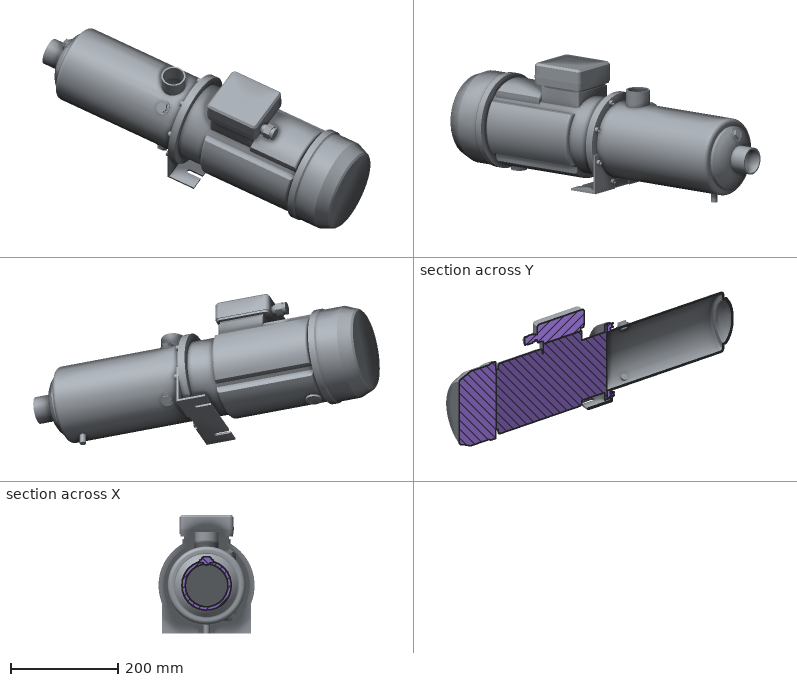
import cadquery as cq
import math

overall_length = 650.6
foot_bottom_z = -90.0
box_top_z = 131.5

casing_radius = 145 / 2
casing_bore_radius = 140 / 2
casing_wall = casing_radius - casing_bore_radius
casing_end_x = 53.5
casing_end_fillet = 7.3
inlet_radius = 50.8 / 2
inlet_bore_radius = 44.5 / 2
dome_start_x = 31.0
dome_end_x = 48.2
dome_radius = 59.0
dome_mid_x = 36.5
dome_mid_radius = 43.0
outlet_x = 268.2
outlet_radius = 44.84 / 2
outlet_bore_radius = 38.95 / 2
outlet_top_z = 100.0
drain_x = 89.3
drain_radius = 12 / 2

flange_radius = 176.5 / 2
flange_front_x = 308.4
flange_joint_x = 316.8
gasket_thickness = 2.4
flange_back_x = 322.4
bolt_circle_radius = 81.0
bolt_count = 8
bolt_shank_diameter = 7.0
bolt_head_diameter = 10.0
bolt_head_height = 6.0
bolt_socket_across_flats = 5.0
bolt_socket_depth = 3.0

sheet_thickness = 4.0
bracket_half_width = 83.3
bracket_top_z = -15.8
bracket_opening_radius = 74.5
bracket_back_x = 361.0
bracket_window_half_width = 22.5
bracket_window_top_z = -76.3
foot_slot_width = 8.0
foot_slot_length = 27.0
foot_slot_y = 54.0
foot_top_z = foot_bottom_z + sheet_thickness

plug_washer_diameter = 26.5
plug_washer_thickness = 2.5
plug_collar_diameter = 21.0
plug_collar_height = 2.0
plug_head_across_corners = 19.73
plug_head_height = 6.5
plug_thread_diameter = 13.0
plug_thread_length = 6.0
side_plug_x = 272.0
side_plug_angle = 52.0
side_plug_seat_radius = 71.3
dome_plug_x = 39.2
dome_plug_z = 44.3
dome_plug_tilt = 25.0

adapter_radius = 73.0
adapter_end_x = 369.0
core_radius = 72.8
pad_radius = 82.9
pad_half_width = 49.0
pad_start_x = 373.0
top_pad_start_x = 462.0
pad_end_x = 562.5
pad_end_fillet = 5.5
rear_foot_x = 546.5
rear_foot_radius = 30 / 2
rear_foot_thickness = 4.0
rear_post_radius = 10 / 2

cover_front_x = 567.2
band_radius = 179.1 / 2
band_end_x = 579.3
cover_radius = 174.1 / 2
cover_taper_x = 623.6
cover_step_length = 3.0
cover_end_radius = 77.5
cover_edge_x = 647.2
cover_back_radius = 74.0

pedestal_start_x = 373.0
pedestal_end_x = 461.5
pedestal_half_width = 44.5
pedestal_top_z = 86.3
pedestal_fillet = 3.5
neck_inset = 2.5
box_start_x = 367.2
box_end_x = 475.3
box_half_width = 50.8
box_bottom_z = 91.5
box_ledge_z = 95.5
box_seam_z = 105.3
box_ledge_inset = 1.8
box_corner_radius = 8.5
lid_chamfer = 4.0
lid_chamfer_inset = 3.5
box_draft = 2.0
gland_y = -25.7
gland_z = 105.2
gland_overlap = 1.0
gland_neck_diameter = 17.0
gland_neck_length = 4.0
gland_collar_diameter = 20.4
gland_collar_length = 5.0
gland_nut_across_flats = 23.5
gland_nut_length = 12.5
gland_sleeve_diameter = 21.0
gland_rim_diameter = 24.0
gland_rim_length = 2.5
gland_length = 28.5


def ring(start_x, end_x, outer_radius):
    """Round bar along X."""
    return cq.Workplane("YZ").workplane(offset=start_x).circle(outer_radius).extrude(end_x - start_x)


def box_between(x_range, y_range, z_range):
    sizes = [high - low for low, high in (x_range, y_range, z_range)]
    return cq.Workplane("XY").box(*sizes, centered=False).translate((x_range[0], y_range[0], z_range[0]))


def flange(start_x, end_x):
    """Round flange, flat underneath where it rests on the bracket foot."""
    across = (-flange_radius, flange_radius)
    return ring(start_x, end_x, flange_radius).intersect(
        box_between((start_x, end_x), across, (foot_top_z, flange_radius))
    )


def hexagon_diameter(across_flats):
    return across_flats / math.cos(math.radians(30))


def shell_profile(offset, pipe_radius, end_x):
    """Solid of the casing body, set in from the outside by offset."""
    body_radius = casing_radius - offset
    fillet = casing_end_fillet - offset
    fillet_side = fillet * (1 - math.sqrt(0.5))
    end_face_x = casing_end_x + offset
    return (
        cq.Workplane("XY")
        .moveTo(0, 0)
        .lineTo(0, pipe_radius)
        .lineTo(dome_start_x + offset, pipe_radius)
        .threePointArc(
            (dome_mid_x + offset, dome_mid_radius - offset),
            (dome_end_x + offset, dome_radius - offset),
        )
        .lineTo(end_face_x, dome_radius - offset)
        .lineTo(end_face_x, body_radius - fillet)
        .threePointArc(
            (end_face_x + fillet_side, body_radius - fillet_side),
            (end_face_x + fillet, body_radius),
        )
        .lineTo(end_x, body_radius)
        .lineTo(end_x, 0)
        .close()
        .revolve(360, (0, 0, 0), (1, 0, 0))
    )


def bolt(index):
    """Socket-head screw. Those low enough to hold the bracket sit on its sheet."""
    angle = 360 / bolt_count * (index + 0.5)
    z = bolt_circle_radius * math.sin(math.radians(angle))
    y = bolt_circle_radius * math.cos(math.radians(angle))
    seat_x = flange_front_x - sheet_thickness if z < bracket_top_z else flange_front_x
    top_x = seat_x - bolt_head_height
    head = ring(top_x, seat_x, bolt_head_diameter / 2)
    socket = (
        cq.Workplane("YZ")
        .workplane(offset=top_x)
        .polygon(6, hexagon_diameter(bolt_socket_across_flats))
        .extrude(bolt_socket_depth)
    )
    shank = ring(seat_x, flange_joint_x, bolt_shank_diameter / 2)
    return head.cut(socket).union(shank).translate((0, y, z))


def make_casing():
    body = shell_profile(0, inlet_radius, flange_joint_x)
    body = body.union(flange(flange_front_x, flange_joint_x))
    outlet = cq.Workplane("XY").center(outlet_x, 0).circle(outlet_radius).extrude(outlet_top_z)
    drain = cq.Workplane("XY").center(drain_x, 0).circle(drain_radius).extrude(foot_bottom_z)
    body = body.union(outlet).union(drain)
    body = body.cut(shell_profile(casing_wall, inlet_bore_radius, flange_joint_x))
    body = body.cut(cq.Workplane("XY").center(outlet_x, 0).circle(outlet_bore_radius).extrude(outlet_top_z))
    for index in range(bolt_count):
        body = body.union(bolt(index))
    return body


def make_plug(seat_plane):
    """Hexagon-head plug with a round washer face, standing on seat_plane."""
    thread = cq.Workplane(seat_plane).circle(plug_thread_diameter / 2).extrude(-plug_thread_length)
    washer = cq.Workplane(seat_plane).circle(plug_washer_diameter / 2).extrude(plug_washer_thickness)
    collar = (
        cq.Workplane(seat_plane)
        .workplane(offset=plug_washer_thickness)
        .circle(plug_collar_diameter / 2)
        .extrude(plug_collar_height)
    )
    head = (
        cq.Workplane(seat_plane)
        .workplane(offset=plug_washer_thickness)
        .polygon(6, plug_head_across_corners)
        .extrude(plug_head_height)
    )
    return thread.union(washer).union(collar).union(head)


def side_plug_plane(angle):
    y = -math.cos(math.radians(angle))
    z = math.sin(math.radians(angle))
    origin = (side_plug_x, side_plug_seat_radius * y, side_plug_seat_radius * z)
    return cq.Plane(origin=origin, xDir=(1, 0, 0), normal=(0, y, z))


def dome_plug_plane():
    tilt = math.radians(dome_plug_tilt)
    return cq.Plane(
        origin=(dome_plug_x, 0, dome_plug_z), xDir=(0, 1, 0), normal=(-math.cos(tilt), 0, math.sin(tilt))
    )


def make_bracket():
    front_x = flange_front_x - sheet_thickness
    across = (-bracket_half_width, bracket_half_width)
    upright = box_between((front_x, flange_front_x), across, (foot_bottom_z, bracket_top_z))
    upright = upright.cut(ring(front_x, flange_front_x, bracket_opening_radius))
    window = (-bracket_window_half_width, bracket_window_half_width)
    upright = upright.cut(
        box_between((front_x, flange_front_x), window, (foot_bottom_z, bracket_window_top_z))
    )
    foot = box_between((flange_front_x, bracket_back_x), across, (foot_bottom_z, foot_top_z))
    slot_start_x = bracket_back_x - foot_slot_length
    for side in (-1, 1):
        y = side * foot_slot_y
        edges = (y - foot_slot_width / 2, y + foot_slot_width / 2)
        foot = foot.cut(box_between((slot_start_x, bracket_back_x), edges, (foot_bottom_z, foot_top_z)))
        foot = foot.cut(
            cq.Workplane("XY")
            .workplane(offset=foot_bottom_z)
            .center(slot_start_x, y)
            .circle(foot_slot_width / 2)
            .extrude(sheet_thickness)
        )
    return upright.union(foot)


def pedestal():
    """Block on top of the motor that carries the terminal box."""
    block = box_between(
        (pedestal_start_x, pedestal_end_x),
        (-pedestal_half_width, pedestal_half_width),
        (0, pedestal_top_z),
    )
    return block.edges("|Z").fillet(pedestal_fillet)


def motor_pads():
    """Raised pads with parallel sides and rounded ends. The top one stops short of the terminal box."""
    along = (pad_start_x, pad_end_x)
    narrow = (-pad_half_width, pad_half_width)
    wide = (-pad_radius, pad_radius)
    side_slab = box_between(along, wide, narrow)
    bottom_slab = box_between(along, narrow, (-pad_radius, 0))
    rounded = ring(pad_start_x, pad_end_x, pad_radius).edges().fillet(pad_end_fillet)
    long_pads = rounded.intersect(side_slab.union(bottom_slab))
    top_slab = box_between((top_pad_start_x, pad_end_x), narrow, (0, pad_radius))
    short = ring(top_pad_start_x, pad_end_x, pad_radius).edges().fillet(pad_end_fillet)
    return long_pads.union(short.intersect(top_slab))


def make_motor():
    joint_x = flange_joint_x + gasket_thickness
    body = flange(flange_joint_x, joint_x)
    body = body.union(flange(joint_x, flange_back_x))
    body = body.union(ring(flange_back_x, adapter_end_x, adapter_radius))
    body = body.union(ring(adapter_end_x, cover_front_x, core_radius))
    body = body.union(motor_pads())
    foot = cq.Workplane("XY").workplane(offset=foot_bottom_z).center(rear_foot_x, 0)
    body = body.union(foot.circle(rear_post_radius).extrude(-core_radius - foot_bottom_z))
    body = body.union(foot.circle(rear_foot_radius).extrude(rear_foot_thickness))
    body = body.union(pedestal())
    return body


def make_fan_cover():
    return (
        cq.Workplane("XY")
        .moveTo(cover_front_x, 0)
        .lineTo(cover_front_x, band_radius)
        .lineTo(band_end_x, band_radius)
        .lineTo(band_end_x + cover_step_length, cover_radius)
        .lineTo(cover_taper_x, cover_radius)
        .lineTo(cover_edge_x, cover_end_radius)
        .lineTo(overall_length, cover_back_radius)
        .lineTo(overall_length, 0)
        .close()
        .revolve(360, (0, 0, 0), (1, 0, 0))
    )


def make_terminal_box():
    length = box_end_x - box_start_x
    center_x = (box_start_x + box_end_x) / 2

    def tapered_block(inset, base_z, height):
        """Rounded block that narrows away from base_z, upward or downward with the sign of height."""
        outline = (
            cq.Sketch()
            .rect(length - 2 * inset, 2 * (box_half_width - inset))
            .vertices()
            .fillet(box_corner_radius)
        )
        plane = cq.Workplane("XY").workplane(offset=base_z).center(center_x, 0)
        return plane.placeSketch(outline).extrude(height, taper=box_draft)

    lid = tapered_block(0, box_seam_z, box_top_z - box_seam_z)
    lid = lid.faces(">Z").chamfer(lid_chamfer, lid_chamfer_inset)
    body = lid.union(tapered_block(0, box_seam_z, box_ledge_z - box_seam_z))
    body = body.union(tapered_block(box_ledge_inset, box_ledge_z, box_bottom_z - box_ledge_z))
    neck = box_between(
        (pedestal_start_x + neck_inset, pedestal_end_x),
        (-pedestal_half_width + neck_inset, pedestal_half_width - neck_inset),
        (pedestal_top_z, box_bottom_z),
    )
    return body.union(neck).union(make_gland())


def make_gland():
    """Cable gland on the motor side of the terminal box."""
    nut_start = gland_neck_length + gland_collar_length
    nut_end = nut_start + gland_nut_length
    body = ring(0, nut_start, gland_neck_diameter / 2)
    body = body.union(ring(gland_neck_length, nut_end, gland_collar_diameter / 2))
    nut = (
        cq.Workplane("YZ")
        .workplane(offset=nut_start)
        .polygon(6, hexagon_diameter(gland_nut_across_flats))
        .extrude(gland_nut_length)
        .rotate((0, 0, 0), (1, 0, 0), 90)
    )
    body = body.union(nut)
    body = body.union(ring(nut_end, gland_length, gland_sleeve_diameter / 2))
    body = body.union(ring(gland_length - gland_rim_length, gland_length, gland_rim_diameter / 2))
    return body.translate((box_end_x - gland_overlap, gland_y, gland_z))


plugs = [
    make_plug(side_plug_plane(side_plug_angle)),
    make_plug(side_plug_plane(-side_plug_angle)),
    make_plug(dome_plug_plane()),
]

casing = make_casing()
for plug in plugs:
    casing = casing.cut(plug)

bracket = make_bracket().cut(casing)
motor = make_motor()
terminal_box = make_terminal_box()
fan_cover = make_fan_cover()

bodies = [casing, *plugs, bracket, motor, terminal_box, fan_cover]
result = cq.Compound.makeCompound([body.val() for body in bodies])